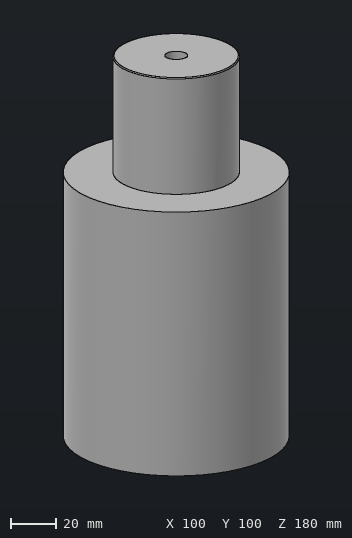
import cadquery as cq

total_height = 180.0
body_diameter = 100.0
body_height = 125.0
neck_diameter = 56.0
neck_height = total_height - body_height
bore_diameter = 10.0
edge_chamfer = 0.5

body = cq.Workplane("XY").circle(body_diameter / 2).extrude(body_height)

neck = (
    cq.Workplane("XY")
    .workplane(offset=body_height)
    .circle(neck_diameter / 2)
    .extrude(neck_height)
    .faces(">Z")
    .edges()
    .chamfer(edge_chamfer)
)

bore = cq.Workplane("XY").circle(bore_diameter / 2).extrude(total_height)

result = body.union(neck).cut(bore)